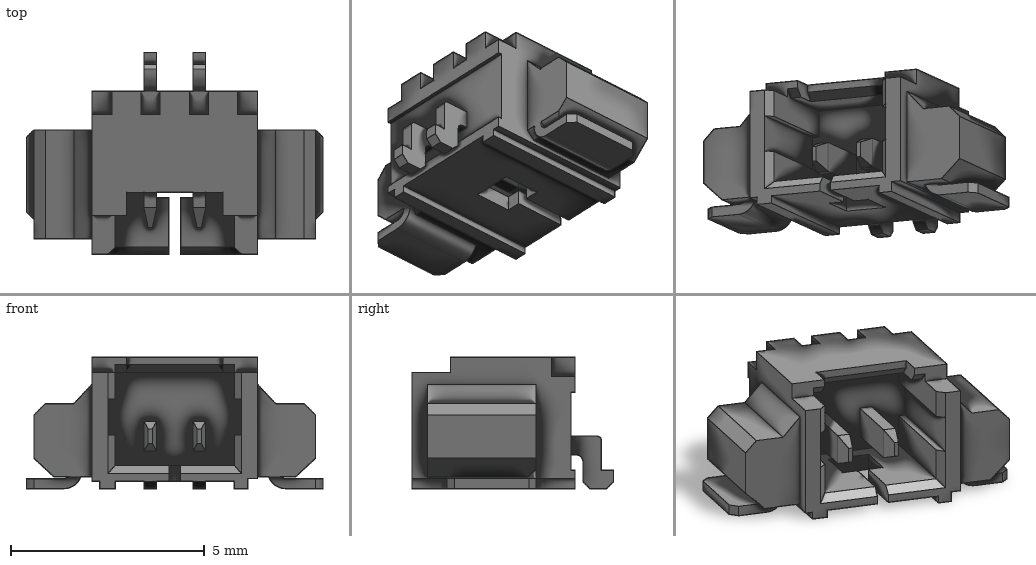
import cadquery as cq


body_width = 4.27
body_depth = 4.21
body_top = 3.4
body_bottom = 0.19
half_body = body_width / 2
shelf_z = 3.0
roof_front_y = 0.995
roof_notch_width = 2.48
roof_notch_y = 1.6
back_recess_depth = 0.1
back_recess_bottom = 0.48
back_recess_top = 2.49

cavity_width = 3.07
cavity_floor = 0.605
cavity_back_y = 2.945
mouth_flare = 0.18
mouth_drop = 0.21
groove_bottom = 1.39
groove_top = 2.32
floor_slot_width = 0.3
floor_slot_y = 1.46
floor_window_width = 1.1
floor_window_back_y = 2.525

notch_depth = 0.605
notch_floor = 2.9
notch_width = 0.49
corner_notch_width = 0.51

foot_inner = 1.53
left_foot_outer = 1.935
right_foot_outer = 1.88
right_edge_bottom = 0.26

wing_reach = 3.63
wing_top = 2.195
wing_bottom = 0.305
wing_front_y = 0.4
wing_back_y = 3.205
wing_top_chamfer = 0.3
wing_low_chamfer_x = 0.52
wing_low_chamfer_z = 0.48
gusset_x = 2.6
gusset_top = 2.69
wing_back_chamfer = 0.215

clip_reach = 3.825
clip_thickness = 0.26
clip_inner_x = 2.39
clip_bend_radius = 0.48
clip_front_y = 0.9
clip_chamfer = 0.19
clip_top = 0.61

pin_pitch = 1.26
pin_width = 0.33
pin_embed = 0.33
pin_bottom = 0.97
pin_top = 1.74
pin_shoulder_y = 1.2
pin_tip_y = 0.69
pin_tip_width = 0.11
pin_tip_height = 0.38
tail_top = 1.36
tail_bottom = 0.87
tail_inner_y = 4.41
tail_outer_y = 4.89
tail_end_y = 5.2
tail_toe_top = 0.48
tail_chamfer = 0.18
tail_outer_radius = 0.12
tail_inner_radius = 0.17

pin_centers = (-pin_pitch / 2, pin_pitch / 2)


def box(x0, x1, y0, y1, z0, z1):
    """Block between two limits along each axis."""
    return cq.Workplane("XY").box(x1 - x0, y1 - y0, z1 - z0, centered=False).translate((x0, y0, z0))


def centered_box(width, y0, y1, z0, z1, x=0):
    """Block of a given width centred on x."""
    return box(x - width / 2, x + width / 2, y0, y1, z0, z1)


def tapered_block(near, far, y0, y1):
    """Straight-sided loft along Y; each end is (width, z bottom, z top)."""
    loft = cq.Workplane("XZ", origin=(0, y0, 0))
    for (width, bottom, top), step in ((near, 0), (far, y0 - y1)):
        loft = loft.workplane(offset=step)
        loft = loft.polyline([
            (-width / 2, bottom), (width / 2, bottom), (width / 2, top), (-width / 2, top),
        ]).close()
    return loft.loft(ruled=True)


def both_sides(shape):
    """The shape and its mirror image across the mid-plane."""
    return shape.union(shape.mirror("YZ"))


def housing():
    body = centered_box(body_width, 0, body_depth, body_bottom, body_top)
    body = body.union(box(-left_foot_outer, -foot_inner, 0, body_depth, 0, body_bottom))
    body = body.union(box(foot_inner, right_foot_outer, 0, body_depth, 0, body_bottom))
    body = body.cut(box(right_foot_outer, half_body, 0, body_depth, 0, right_edge_bottom))
    body = body.cut(centered_box(body_width, 0, roof_front_y, shelf_z, body_top))
    body = body.cut(centered_box(roof_notch_width, 0, roof_notch_y, shelf_z, body_top))
    return body.cut(centered_box(
        body_width, body_depth - back_recess_depth, body_depth, back_recess_bottom, back_recess_top))


def roof_flare(width, y):
    """Wedge that bevels the lower front edge of the roof at y."""
    return (
        cq.Workplane("YZ", origin=(-width / 2, 0, 0))
        .polyline([(y, shelf_z), (y + mouth_drop, shelf_z), (y, shelf_z + mouth_drop)])
        .close()
        .extrude(width)
    )


def cavity():
    mouth_width = cavity_width + 2 * mouth_flare
    space = centered_box(cavity_width, 0, cavity_back_y, cavity_floor, shelf_z)
    space = space.union(tapered_block(
        (mouth_width, cavity_floor - mouth_drop, shelf_z), (cavity_width, cavity_floor, shelf_z),
        0, mouth_flare))
    space = space.union(centered_box(mouth_width, 0, cavity_back_y, groove_bottom, groove_top))
    space = space.union(roof_flare(cavity_width, roof_front_y))
    space = space.union(roof_flare(roof_notch_width, roof_notch_y))
    space = space.union(centered_box(floor_slot_width, 0, floor_slot_y, 0, cavity_floor))
    return space.union(centered_box(
        floor_window_width, floor_slot_y, floor_window_back_y, 0, cavity_floor))


def rear_notches():
    y0 = body_depth - notch_depth
    notches = both_sides(box(
        half_body - corner_notch_width, half_body, y0, body_depth, notch_floor, body_top))
    for x in pin_centers:
        notches = notches.union(centered_box(notch_width, y0, body_depth, notch_floor, body_top, x))
    return notches


def wing():
    block = (
        cq.Workplane("XZ", origin=(0, wing_front_y, 0))
        .polyline([
            (half_body, wing_bottom),
            (wing_reach - wing_low_chamfer_x, wing_bottom),
            (wing_reach, wing_bottom + wing_low_chamfer_z),
            (wing_reach, wing_top - wing_top_chamfer),
            (wing_reach - wing_top_chamfer, wing_top),
            (gusset_x, wing_top),
            (half_body, gusset_top),
        ])
        .close()
        .extrude(wing_front_y - wing_back_y)
    )
    rear_bevel = (
        cq.Workplane("YZ", origin=(half_body, 0, 0))
        .polyline([
            (wing_back_y - wing_back_chamfer, wing_bottom),
            (wing_back_y, wing_bottom),
            (wing_back_y, wing_bottom + wing_back_chamfer),
        ])
        .close()
        .extrude(wing_reach - half_body)
    )
    return block.cut(rear_bevel)


def clip():
    inner_radius = clip_bend_radius - clip_thickness
    profile = (
        cq.Workplane("XZ", origin=(0, clip_front_y, 0))
        .moveTo(clip_reach, 0)
        .lineTo(clip_inner_x + clip_bend_radius, 0)
        .radiusArc((clip_inner_x, clip_bend_radius), clip_bend_radius)
        .lineTo(clip_inner_x, clip_top)
        .lineTo(clip_inner_x + clip_thickness, clip_top)
        .lineTo(clip_inner_x + clip_thickness, clip_bend_radius)
        .radiusArc((clip_inner_x + clip_bend_radius, clip_thickness), -inner_radius)
        .lineTo(clip_reach, clip_thickness)
        .close()
    )
    strip = profile.extrude(clip_front_y - wing_back_y)
    return strip.faces(">X").edges("|Z").chamfer(clip_chamfer)


def pin(x):
    blade = centered_box(pin_width, pin_shoulder_y, cavity_back_y + pin_embed, pin_bottom, pin_top)
    tip_middle = (pin_bottom + pin_top) / 2
    tip = tapered_block(
        (pin_tip_width, tip_middle - pin_tip_height / 2, tip_middle + pin_tip_height / 2),
        (pin_width, pin_bottom, pin_top), pin_tip_y, pin_shoulder_y)
    tail = (
        cq.Workplane("YZ", origin=(-pin_width / 2, 0, 0))
        .moveTo(cavity_back_y, tail_top)
        .lineTo(tail_outer_y - tail_outer_radius, tail_top)
        .radiusArc((tail_outer_y, tail_top - tail_outer_radius), tail_outer_radius)
        .lineTo(tail_outer_y, tail_toe_top)
        .lineTo(tail_end_y, tail_toe_top)
        .lineTo(tail_end_y, tail_chamfer)
        .lineTo(tail_end_y - tail_chamfer, 0)
        .lineTo(tail_inner_y + tail_chamfer, 0)
        .lineTo(tail_inner_y, tail_chamfer)
        .lineTo(tail_inner_y, tail_bottom - tail_inner_radius)
        .radiusArc((tail_inner_y - tail_inner_radius, tail_bottom), -tail_inner_radius)
        .lineTo(cavity_back_y, tail_bottom)
        .close()
        .extrude(pin_width)
    )
    return blade.union(tip).union(tail).translate((x, 0, 0))


result = housing().cut(cavity()).cut(rear_notches())
result = result.union(both_sides(wing())).union(both_sides(clip()))
for pin_x in pin_centers:
    result = result.union(pin(pin_x))